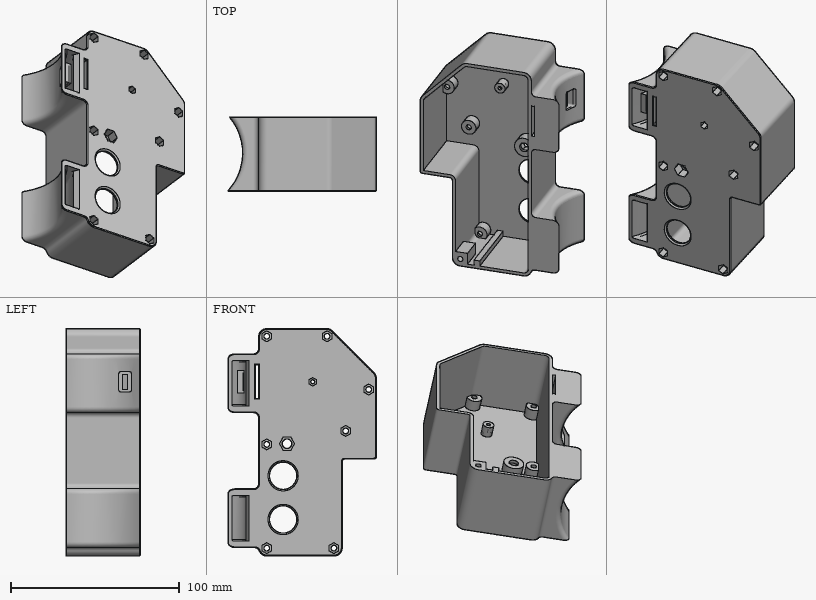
import cadquery as cq
import math

WIDTH = 88.0
DEPTH = 44.0
HEIGHT = 135.0
WALL = 2.0
EDGE_CHAMFER = 0.5

BODY_LEFT = 18.1
LOWER_RIGHT = 67.8
STEP_Z = 57.5
CORNER_CUT = 27.5
BODY_ROUND = 5.0
STEP_ROUND = 1.5

EAR_HEIGHT = 35.0
EAR_BOTTOMS = (5.0, 85.0)
EAR_ROUND = 3.0
TUBE_RADIUS = 33.2
TUBE_CENTER_Y = 22.7
TIP_OVERHANG = 0.36
TUBE_CENTER_X = -TIP_OVERHANG - math.sqrt(TUBE_RADIUS**2 - TUBE_CENTER_Y**2)

POCKET_MARGIN_Z = 3.9
POCKET_MOUTH_RIGHT = 12.4
POCKET_LIP_DEPTH = 3.2
POCKET_OUTER_GAP = 7.0
POCKET_ROUND = 1.0

WINDOW_Y = 9.0
WINDOW_Z = 103.4
WINDOW_FLOOR_X = 8.8
WINDOW_WIDTH = 7.5
WINDOW_HEIGHT = 12.0
WINDOW_ROUND = 1.2
PORT_WIDTH = 3.1
PORT_HEIGHT = 8.9
HOUSING_RIGHT = 9.6
HOUSING_WALL = 0.5

SLOT_X = 17.1
SLOT_Z = 103.5
SLOT_WIDTH = 1.9
SLOT_HEIGHT = 19.8
SLOT_BEVEL = 0.47

SCREW_CENTERS = (
    (23.0, 130.4),
    (58.7, 130.4),
    (83.4, 98.8),
    (69.8, 74.2),
    (23.0, 66.3),
    (23.0, 4.7),
    (62.8, 4.7),
)
SCREW_HOLE = 3.2
SCREW_HEX = 6.5
SCREW_BOSS = 9.0
PIN_CENTER = (50.2, 103.4)
PIN_HOLE = 2.2
PIN_HEX = 5.0
PIN_BOSS = 6.5
BOLT_CENTER = (35.0, 66.7)
BOLT_HOLE = 5.5
BOLT_HEX = 9.0
BOLT_BOSS = 12.0
HEX_DEPTH = 6.8
POINT_UP = 30
POINT_SIDEWAYS = 0
BOSS_END = HEX_DEPTH + WALL

FASTENERS = [(center, SCREW_HOLE, SCREW_HEX, SCREW_BOSS, POINT_UP) for center in SCREW_CENTERS]
FASTENERS.append((PIN_CENTER, PIN_HOLE, PIN_HEX, PIN_BOSS, POINT_UP))
FASTENERS.append((BOLT_CENTER, BOLT_HOLE, BOLT_HEX, BOLT_BOSS, POINT_SIDEWAYS))

RIB_LEFT = 50.5
RIB_WIDTH = 3.6
RIB_TOP = 5.4
BLOCK_LEFT = 58.2
BLOCK_FRONT = 29.7
BLOCK_TOP = 9.2

OPENING_CENTERS = ((32.7, 47.7), (32.7, 21.7))
OPENING_DIAMETER = 16.0
OPENING_BEVEL = 1.0

TOUCHING = 1.35e-06


def box(x0, x1, y0, y1, z0, z1):
    return cq.Workplane("XY").box(x1 - x0, y1 - y0, z1 - z0, centered=False).translate((x0, y0, z0))


def cylinder(center, diameter, y0, y1):
    return cq.Workplane("XZ", origin=(0, y0, 0)).center(*center).circle(diameter / 2).extrude(y0 - y1)


def hexagon(center, corner_diameter, y0, y1, turn):
    sketch = cq.Workplane("XZ", origin=(0, y0, 0)).center(*center).transformed(rotate=(0, 0, turn))
    return sketch.polygon(6, corner_diameter).extrude(y0 - y1)


def rounded_outline(corners, y0):
    """Closed XZ outline at depth y0 from (x, z, radius) corners, each corner an arc tangent to both sides."""
    outline = cq.Workplane("XZ", origin=(0, y0, 0))
    for i, (x, z, radius) in enumerate(corners):
        corner = cq.Vector(x, z)
        to_last = (cq.Vector(*corners[i - 1][:2]) - corner).normalized()
        to_next = (cq.Vector(*corners[(i + 1) % len(corners)][:2]) - corner).normalized()
        half_angle = to_last.getAngle(to_next) / 2
        start = corner + to_last * (radius / math.tan(half_angle))
        end = corner + to_next * (radius / math.tan(half_angle))
        bisector = (to_last + to_next).normalized()
        middle = corner + bisector * (radius / math.sin(half_angle) - radius)
        if i == 0:
            outline = outline.moveTo(start.x, start.y)
        elif (start - end_of_last).Length > TOUCHING:
            outline = outline.lineTo(start.x, start.y)
        if radius > 0:
            outline = outline.threePointArc((middle.x, middle.y), (end.x, end.y))
        end_of_last = end
    return outline.close()


SHARED_CORNERS = [
    (LOWER_RIGHT, 0, BODY_ROUND),
    (LOWER_RIGHT, STEP_Z, STEP_ROUND),
    (WIDTH, STEP_Z, STEP_ROUND),
    (WIDTH, HEIGHT - CORNER_CUT, BODY_ROUND),
    (WIDTH - CORNER_CUT, HEIGHT, BODY_ROUND),
    (BODY_LEFT, HEIGHT, BODY_ROUND),
]


def tube_cylinder(gap=0.0):
    """Cylinder around the tube axis, larger than the tube by the gap."""
    axis = cq.Workplane("XY").center(TUBE_CENTER_X, TUBE_CENTER_Y)
    return axis.circle(TUBE_RADIUS + gap).extrude(HEIGHT)


def outer_block():
    """Solid case with rounded ears, hollowed for the tube and chamfered around the front face."""
    s_angle = math.acos(1 - EAR_BOTTOMS[0] / (EAR_ROUND + BODY_ROUND))
    bottom_center_x = BODY_LEFT + BODY_ROUND
    fillet_center_x = bottom_center_x - (EAR_ROUND + BODY_ROUND) * math.sin(s_angle)
    s_top_x = fillet_center_x + EAR_ROUND * math.tan(s_angle / 2)
    s_bottom_x = bottom_center_x - BODY_ROUND * math.tan(s_angle / 2)
    ear_tops = [bottom + EAR_HEIGHT for bottom in EAR_BOTTOMS]

    block = rounded_outline(
        SHARED_CORNERS
        + [
            (BODY_LEFT, ear_tops[1], EAR_ROUND),
            (-TIP_OVERHANG, ear_tops[1], 0),
            (-TIP_OVERHANG, EAR_BOTTOMS[1], 0),
            (BODY_LEFT, EAR_BOTTOMS[1], EAR_ROUND),
            (BODY_LEFT, ear_tops[0], EAR_ROUND),
            (-TIP_OVERHANG, ear_tops[0], 0),
            (-TIP_OVERHANG, EAR_BOTTOMS[0], 0),
            (s_top_x, EAR_BOTTOMS[0], EAR_ROUND),
            (s_bottom_x, 0, BODY_ROUND),
        ],
        0,
    ).extrude(-DEPTH)
    block = block.cut(tube_cylinder())
    ear_rims = block.edges("%CIRCLE").filter(lambda edge: abs(edge.radius() - TUBE_RADIUS) < TOUCHING)
    block = ear_rims.fillet(EAR_ROUND)
    return block.faces("<Y").edges().chamfer(EDGE_CHAMFER)


def cavity():
    """Inside of the main body, open at the back."""
    corners = SHARED_CORNERS + [(BODY_LEFT, 0, BODY_ROUND)]
    return rounded_outline(corners, WALL).offset2D(-WALL).extrude(WALL - DEPTH)


def ear_pocket(ear_bottom):
    """Curved channel behind the ear wall, with a wide mouth in the front face and closed at the back."""
    z0 = ear_bottom + POCKET_MARGIN_Z
    z1 = ear_bottom + EAR_HEIGHT - POCKET_MARGIN_Z
    outer_radius = TUBE_RADIUS + POCKET_OUTER_GAP
    lip_x = TUBE_CENTER_X + math.sqrt(outer_radius**2 - (TUBE_CENTER_Y - POCKET_LIP_DEPTH) ** 2)
    mouth_points = [(0, 0), (POCKET_MOUTH_RIGHT, 0), (lip_x, POCKET_LIP_DEPTH), (0, POCKET_LIP_DEPTH)]
    mouth = cq.Workplane("XY", origin=(0, 0, z0)).polyline(mouth_points).close().extrude(z1 - z0)
    channel = box(0, BODY_LEFT, POCKET_LIP_DEPTH, DEPTH - WALL, z0, z1)
    channel = channel.intersect(tube_cylinder(POCKET_OUTER_GAP))
    pocket = mouth.union(channel).cut(tube_cylinder(WALL))
    return pocket.edges("%CIRCLE").fillet(POCKET_ROUND)


def window_housing():
    """Small block inside the ear pocket that carries the connector window."""
    half_width = WINDOW_WIDTH / 2 + HOUSING_WALL
    half_height = WINDOW_HEIGHT / 2 + HOUSING_WALL
    face = cq.Workplane("YZ").center(WINDOW_Y, WINDOW_Z)
    block = face.rect(2 * half_width, 2 * half_height).extrude(HOUSING_RIGHT)
    return block.cut(tube_cylinder())


def window():
    """Rounded recess facing the tube, with a narrow port through its floor."""
    face = cq.Workplane("YZ").center(WINDOW_Y, WINDOW_Z)
    recess = face.rect(WINDOW_WIDTH, WINDOW_HEIGHT).extrude(WINDOW_FLOOR_X).edges("|X").fillet(WINDOW_ROUND)
    port = face.rect(PORT_WIDTH, PORT_HEIGHT).extrude(HOUSING_RIGHT)
    return recess.union(port)


def strap_slot():
    """Straight slot through the full depth with a bevelled mouth."""
    face = cq.Workplane("XZ").center(SLOT_X, SLOT_Z)
    slot = face.rect(SLOT_WIDTH, SLOT_HEIGHT).extrude(-DEPTH)
    mouth = face.rect(SLOT_WIDTH + 2 * SLOT_BEVEL, SLOT_HEIGHT + 2 * SLOT_BEVEL)
    return slot.union(mouth.extrude(-SLOT_BEVEL, taper=45))


def opening(center):
    """Round hole through the front wall with a bevelled rim."""
    hole = cylinder(center, OPENING_DIAMETER, 0, WALL)
    rim_radius = OPENING_DIAMETER / 2 + OPENING_BEVEL
    tip = cq.Vector(center[0], 0, center[1])
    rim = cq.Solid.makeCone(rim_radius, OPENING_DIAMETER / 2, OPENING_BEVEL, tip, cq.Vector(0, 1, 0))
    return hole.union(cq.Workplane(rim))


def inside_features():
    """Everything standing inside the cavity: fastener bosses, floor rib and corner block."""
    inside = box(RIB_LEFT, RIB_LEFT + RIB_WIDTH, WALL, DEPTH, 0, RIB_TOP)
    inside = inside.union(box(BLOCK_LEFT, LOWER_RIGHT, BLOCK_FRONT, DEPTH, 0, BLOCK_TOP))
    for center, _, _, boss, _ in FASTENERS:
        inside = inside.union(cylinder(center, boss, WALL, BOSS_END))
    return inside.intersect(cavity())


def fastener_holes():
    """Through holes with hexagonal nut pockets in the front face."""
    holes = cq.Workplane("XZ")
    for center, hole, hexagon_size, _, turn in FASTENERS:
        holes = holes.add(hexagon(center, hexagon_size, 0, HEX_DEPTH, turn))
        holes = holes.add(cylinder(center, hole, 0, DEPTH))
    return holes.combine()


result = outer_block().cut(cavity()).union(inside_features()).cut(fastener_holes())
for opening_center in OPENING_CENTERS:
    result = result.cut(opening(opening_center))
for ear_bottom in EAR_BOTTOMS:
    result = result.cut(ear_pocket(ear_bottom))
result = result.union(window_housing()).cut(window()).cut(strap_slot())